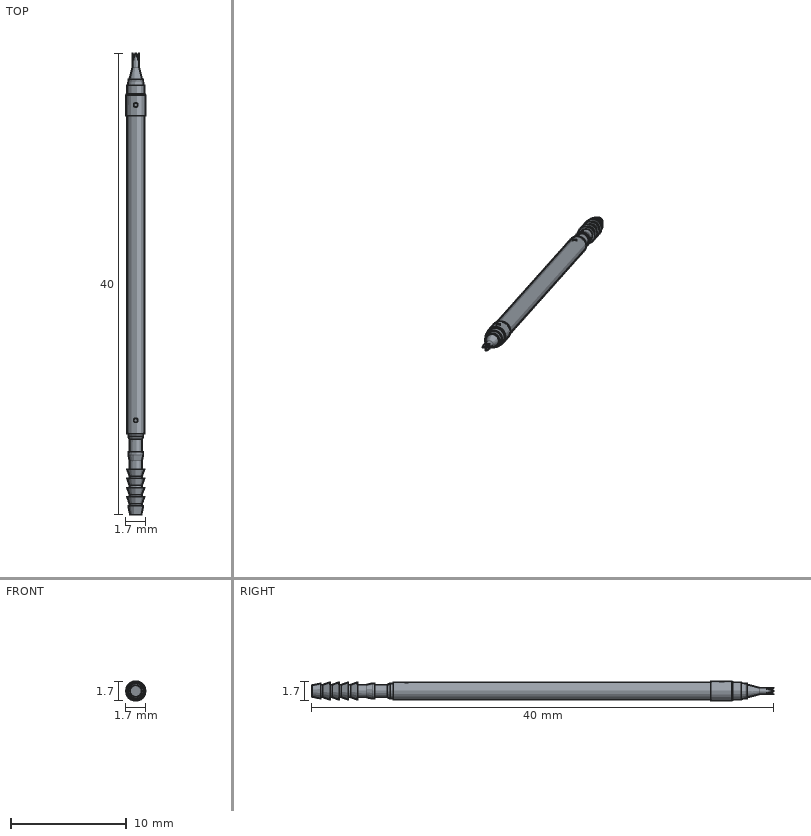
import cadquery as cq
import math

length = 40.0

pin_radius = 0.30
pin_end = 1.25
nose_end = 2.29
nose_radius = 0.57
crown_depth = 0.60
crown_half_angle = 18.0
groove_turns = (45, 135)

step_radius = 0.66
step_end = 2.42
body_radius = 0.77
body_start = 2.80
step_cone_radius = 0.70

collar_radius = 0.85
collar_chamfer_start = 3.53
collar_start = 3.65
collar_end = 5.45

body_end = 32.95
shoulder_radius = 0.67
shoulder_end = 33.2
shoulder_cone_end = 33.45

stem_radius = 0.55
ring_radius = 0.67
ring_start = 34.53
ring_end = 34.78
ring_cone_end = 35.28
barb_radius = 0.77
barb_count = 4
barb_pitch = 0.80
barb_length = 0.61
first_barb = 36.02
end_barb_radius = 0.67
tail_radius = 0.50

dimple_radius = 0.18
dimple_depth = 0.10
collar_dimple = 4.5
body_dimple = 31.8


def along(station):
    """Y coordinate of a station; the part is centred on the origin."""
    return length / 2 - station


def turned_profile():
    """(radius, station) corners of the half section, from tip to tail."""
    corners = [
        (pin_radius, 0),
        (pin_radius, pin_end),
        (nose_radius, nose_end),
        (step_radius, nose_end),
        (step_radius, step_end),
        (step_cone_radius, body_start),
        (body_radius, body_start),
        (body_radius, collar_chamfer_start),
        (collar_radius, collar_start),
        (collar_radius, collar_end),
        (body_radius, collar_end),
        (body_radius, body_end),
        (shoulder_radius, body_end),
        (shoulder_radius, shoulder_end),
        (stem_radius, shoulder_cone_end),
        (stem_radius, ring_start),
        (ring_radius, ring_start),
        (ring_radius, ring_end),
        (stem_radius, ring_cone_end),
    ]
    for barb in range(barb_count):
        barb_start = first_barb + barb * barb_pitch
        corners.append((stem_radius, barb_start))
        corners.append((barb_radius, barb_start))
        corners.append((stem_radius, barb_start + barb_length))
    end_barb = first_barb + barb_count * barb_pitch
    corners.append((stem_radius, end_barb))
    corners.append((end_barb_radius, end_barb))
    corners.append((tail_radius, length))
    return corners


def turned_body():
    points = [(along(station), radius) for radius, station in turned_profile()]
    outline = [(along(0), 0)] + points + [(along(length), 0)]
    return cq.Workplane("YZ").polyline(outline).close().revolve(360, (0, 0, 0), (1, 0, 0))


def crown_groove(turn):
    """V groove across the pin end, turned about Y; two of them leave four points."""
    half_width = crown_depth * math.tan(math.radians(crown_half_angle))
    groove = (
        cq.Workplane("XY")
        .polyline([(-half_width, along(0)), (half_width, along(0)), (0, along(crown_depth))])
        .close()
        .extrude(2 * pin_radius, both=True)
    )
    return groove.rotate((0, 0, 0), (0, 1, 0), turn)


def dimple(station, surface_radius):
    return (
        cq.Workplane("XY")
        .workplane(offset=surface_radius - dimple_depth)
        .center(0, along(station))
        .circle(dimple_radius)
        .extrude(2 * dimple_depth)
    )


result = turned_body()
for groove_turn in groove_turns:
    result = result.cut(crown_groove(groove_turn))
result = result.cut(dimple(collar_dimple, collar_radius))
result = result.cut(dimple(body_dimple, body_radius))